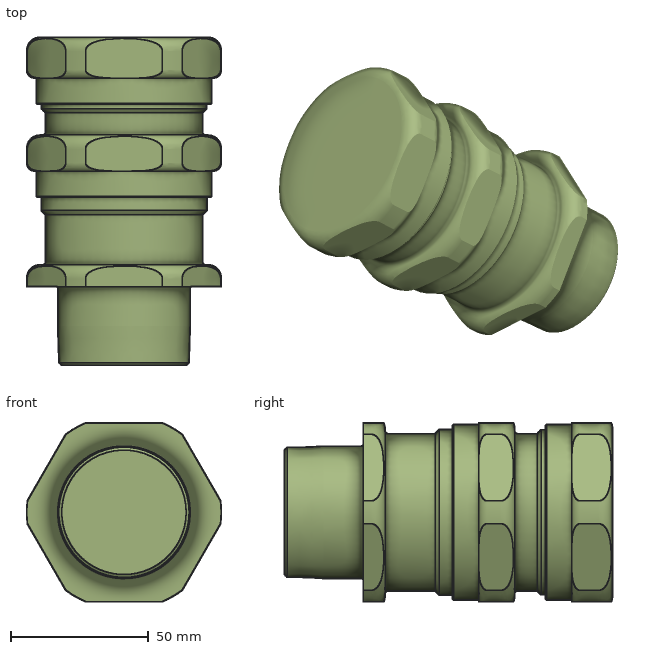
import cadquery as cq
import math


ACROSS_FLATS = 65.0
ACROSS_CORNERS = ACROSS_FLATS / math.cos(math.pi / 6)
CORNER_RADIUS = 35.37
REAR_ROUND = 5.0
FRONT_ROUND = 3.0
ENTRY_HEX_LENGTH = 8.0
MIDDLE_HEX_LENGTH = 13.1
BACK_HEX_LENGTH = 14.9

COLLAR_RADIUS = 63.9 / 2
COLLAR_LENGTH = 9.5
COLLAR_CHAMFER = 0.5

SLEEVE_RADIUS = 57.3 / 2
SLEEVE_FILLET = 1.0
ENTRY_SLEEVE_LENGTH = 24.5
MIDDLE_SLEEVE_LENGTH = 11.1

ENTRY_RING_RADIUS = 60.4 / 2
ENTRY_RING_LENGTH = 6.3
MIDDLE_RING_RADIUS = 60.1 / 2
MIDDLE_RING_LENGTH = 3.0

SPIGOT_RADIUS = 48.2 / 2
SPIGOT_LENGTH = 28.6
SPIGOT_ROOT_FILLET = 0.5
TAPER_LENGTH = 14.3
TAPER_END_RADIUS = 47.4 / 2
TIP_CHAMFER = 1.1

ENTRY_HEX_REAR = ENTRY_HEX_LENGTH
MIDDLE_COLLAR_FRONT = ENTRY_HEX_REAR + ENTRY_SLEEVE_LENGTH
MIDDLE_HEX_FRONT = MIDDLE_COLLAR_FRONT + COLLAR_LENGTH
MIDDLE_HEX_REAR = MIDDLE_HEX_FRONT + MIDDLE_HEX_LENGTH
BACK_COLLAR_FRONT = MIDDLE_HEX_REAR + MIDDLE_SLEEVE_LENGTH
BACK_HEX_FRONT = BACK_COLLAR_FRONT + COLLAR_LENGTH

ARC_MIDDLE = math.sqrt(0.5)


def revolve_about_y(profile):
    """Solid of revolution from an XY sketch whose x is the radius."""
    return profile.close().revolve(360, (0, 0, 0), (0, 1, 0))


def hexagon(front, length, front_round=0.0):
    """Hexagon with flats facing +Z and -Z, and turned, rounded corners."""
    rear = front + length
    prism = (
        cq.Workplane("XZ", origin=(0, rear, 0))
        .polygon(6, ACROSS_CORNERS)
        .extrude(length)
    )
    envelope = cq.Workplane("XY").moveTo(0, front).lineTo(CORNER_RADIUS - front_round, front)
    if front_round:
        front_inset = front_round * (1 - ARC_MIDDLE)
        envelope = envelope.threePointArc(
            (CORNER_RADIUS - front_inset, front + front_inset),
            (CORNER_RADIUS, front + front_round),
        )
    rear_inset = REAR_ROUND * (1 - ARC_MIDDLE)
    envelope = (
        envelope.lineTo(CORNER_RADIUS, rear - REAR_ROUND)
        .threePointArc(
            (CORNER_RADIUS - rear_inset, rear - rear_inset),
            (CORNER_RADIUS - REAR_ROUND, rear),
        )
        .lineTo(0, rear)
    )
    return prism.intersect(revolve_about_y(envelope))


def collar(front):
    """Round collar with a chamfered front edge."""
    rear = front + COLLAR_LENGTH
    return revolve_about_y(
        cq.Workplane("XY")
        .moveTo(0, front)
        .lineTo(COLLAR_RADIUS - COLLAR_CHAMFER, front)
        .lineTo(COLLAR_RADIUS, front + COLLAR_CHAMFER)
        .lineTo(COLLAR_RADIUS, rear)
        .lineTo(0, rear)
    )


def sleeve(front, length):
    """Sleeve that flares through a fillet into the hexagon face at its front end."""
    rear = front + length
    inset = SLEEVE_FILLET * (1 - ARC_MIDDLE)
    return revolve_about_y(
        cq.Workplane("XY")
        .moveTo(0, front)
        .lineTo(SLEEVE_RADIUS + SLEEVE_FILLET, front)
        .threePointArc(
            (SLEEVE_RADIUS + inset, front + inset),
            (SLEEVE_RADIUS, front + SLEEVE_FILLET),
        )
        .lineTo(SLEEVE_RADIUS, rear)
        .lineTo(0, rear)
    )


def spigot():
    """Entry spigot: filleted root, straight part, taper and chamfered tip."""
    tip = -SPIGOT_LENGTH
    inset = SPIGOT_ROOT_FILLET * (1 - ARC_MIDDLE)
    return revolve_about_y(
        cq.Workplane("XY")
        .moveTo(0, 0)
        .lineTo(SPIGOT_RADIUS + SPIGOT_ROOT_FILLET, 0)
        .threePointArc(
            (SPIGOT_RADIUS + inset, -inset),
            (SPIGOT_RADIUS, -SPIGOT_ROOT_FILLET),
        )
        .lineTo(SPIGOT_RADIUS, tip + TAPER_LENGTH)
        .lineTo(TAPER_END_RADIUS, tip + TIP_CHAMFER)
        .lineTo(TAPER_END_RADIUS - TIP_CHAMFER, tip)
        .lineTo(0, tip)
    )


def seal_ring(rear, length, radius):
    """Ring around a sleeve; its front edge is chamfered down to the sleeve surface."""
    front = rear - length
    chamfer = radius - SLEEVE_RADIUS
    return revolve_about_y(
        cq.Workplane("XY")
        .moveTo(SLEEVE_RADIUS, front)
        .lineTo(radius, front + chamfer)
        .lineTo(radius, rear)
        .lineTo(SLEEVE_RADIUS, rear)
    )


entry_body = (
    hexagon(0, ENTRY_HEX_LENGTH)
    .union(spigot())
    .union(sleeve(ENTRY_HEX_REAR, ENTRY_SLEEVE_LENGTH))
)

middle_body = hexagon(MIDDLE_HEX_FRONT, MIDDLE_HEX_LENGTH, FRONT_ROUND).union(
    sleeve(MIDDLE_HEX_REAR, MIDDLE_SLEEVE_LENGTH)
)

back_nut = hexagon(BACK_HEX_FRONT, BACK_HEX_LENGTH, FRONT_ROUND)

collars = [collar(front).val() for front in (MIDDLE_COLLAR_FRONT, BACK_COLLAR_FRONT)]

seal_rings = [
    seal_ring(rear, length, radius).val()
    for rear, length, radius in (
        (MIDDLE_COLLAR_FRONT, ENTRY_RING_LENGTH, ENTRY_RING_RADIUS),
        (BACK_COLLAR_FRONT, MIDDLE_RING_LENGTH, MIDDLE_RING_RADIUS),
    )
]

result = cq.Compound.makeCompound(
    [entry_body.val(), middle_body.val(), back_nut.val(), *collars, *seal_rings]
)